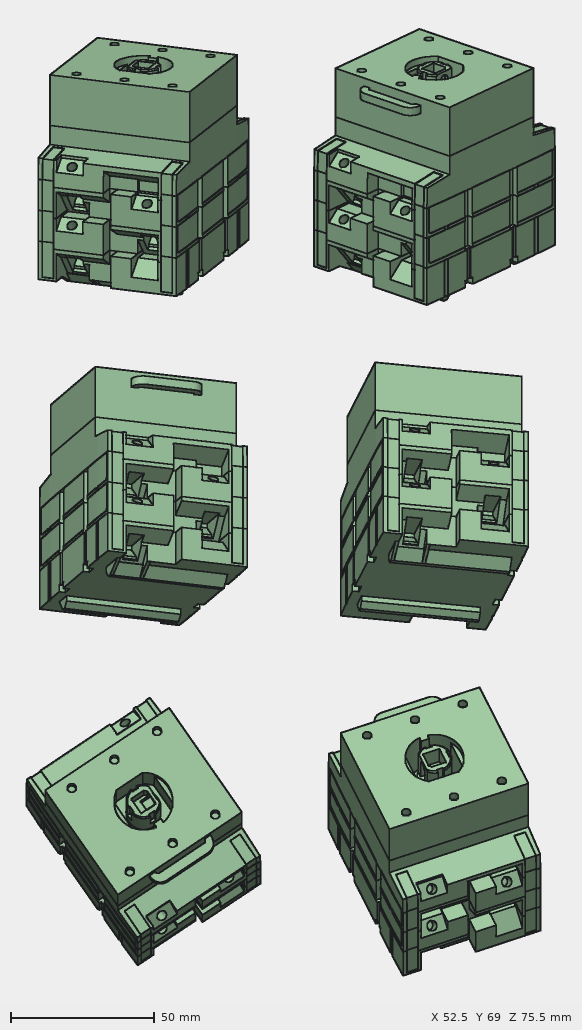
import cadquery as cq
import math

WIDTH = 52.5
HALF_WIDTH = WIDTH / 2
END_HALF_WIDTH = 26.0
TAPER_START = 24.1
HALF_LENGTH = 34.5
HALF_COVER = 22.6
TOP = 71.5
COVER_BOTTOM = 52.9

BASE_SEAM = 11.8
HOUSING_SEAM = 34.5
LAYER_PITCH = (HOUSING_SEAM - BASE_SEAM) / 2
CORE_SEAMS = [BASE_SEAM + LAYER_PITCH * i for i in range(3)]
FLANGE_STEP = 2.3
FLANGE_SEAMS = [seam + FLANGE_STEP for seam in CORE_SEAMS]
HALF_CORE = 20.2

SHOULDER_INNER_Z = 45.9
SHOULDER_OUTER_Z = 44.55
SHOULDER_HALF_LENGTH = 34.2

FRONT = -HALF_LENGTH
BACK_WALL = -28.5
HALF_GAP = 1.4
OPENING_OUTER = 19.1
POCKET_INNER = 9.1
HOLE_INNER = 11.3
HOLE_OUTER = 16.75
CEILING_DROP = 1.6
HOUSING_CEILING = 42.65
UNDERCUT_DROP = 6.2
HOLE_TOP_DROP = 3.4
HOLE_BOTTOM_DROP = 10.8
HOLE_STEPS = [0.9, 0.9, 4.1]
CEILING_SLOPE = math.tan(math.radians(30))
UNDERCUT_SLOPE = math.tan(math.radians(50))
RAMP_ANGLE = 40
RAMP_SLOPE = math.tan(math.radians(RAMP_ANGLE))
RAMP_FRONT_DROP = 4.5
RAMP_TOP_DROP = 0.7
BASE_RAMP_FRONT_DROP = 6.8
BASE_RAMP_TOP_DROP = 1.5
HOUSING_POCKET_BACK = -27.1
SHOULDER_RAMP_FRONT_Z = 39.95
SHOULDER_POCKET_BACK = -29.7
SCREW_DIAMETER = 3.55
SCREW_DEPTH = 6.05

STRIP_OUTER = 24.4
STRIP_DEPTH = 0.2
STRIP_BOTTOM = 1.0

PANEL_DEPTH = 0.2
PANEL_HALF_LENGTH = 33.15
PANEL_LIP = 1.3
PANEL_RADIUS = 0.9
SLOT_Y = 12.1
SLOT_WIDTH = 4.0
SLOT_DEPTH = 2.3
BASE_SLOT_DEPTH = 0.8
BASE_SLOT_WIDTH = 1.9
BASE_SLOT_FOOT = 2.5
GROOVE_Y = 24.15
GROOVE_WIDTH = 1.7

FOOT_DEPTH = 4.0
FOOT_OUTER = -24.45
RIB_OUTER = -28.55
FOOT_TIP_OUTER = -21.1
FOOT_TIP_INNER = -19.3
FOOT_INNER = -17.2
FOOT_INNER_HEIGHT = 2.0
FOOT_END = 22.3
RIB_WIDTH = 1.2

COVER_HOLE_SPACING = 18.05
COVER_HOLE_DIAMETER = 3.1
COVER_HOLE_DEPTH = 3.8
BORE_RADIUS = 10.3
BORE_FLAT_Y = -8.6
BORE_HALF_WIDTH = 8.45
BORE_LEDGE_DEPTH = 2.65
KEY_WIDTH = 3.0
KEY_TIP_Y = 8.5
ROTOR_RADIUS = 6.1
ROTOR_FLAT_X = -4.45
ROTOR_CHAMFER = 0.5
COLLAR_TOP = 60.4
SQUARE_SIZE = 6.3
SQUARE_CORNER = 0.9
SQUARE_DEPTH = 7.55
NOTCH_WIDTH = 2.3
NOTCH_RADIUS = 5.0
ARCH_WIDTH = 3.9
ARCH_DROP = 1.35
LOOP_TOP = 68.5
LOOP_THICKNESS = 3.0
LOOP_HALF_WIDTH = 12.9
LOOP_REACH = 27.4
LOOP_RADIUS = 4.2
LOOP_INNER_HALF_WIDTH = 10.4
LOOP_INNER_REACH = 23.8
LOOP_INNER_RADIUS = 0.9


def box(x0, x1, y0, y1, z0, z1):
    """Axis-aligned box between two corners; the X limits may come in either order."""
    size = (abs(x1 - x0), y1 - y0, z1 - z0)
    return cq.Workplane("XY").box(*size).translate(((x0 + x1) / 2, (y0 + y1) / 2, (z0 + z1) / 2))


def upright_cylinder(radius, z0, z1):
    """Cylinder about the Z axis."""
    return cq.Workplane("XY").workplane(offset=z0).circle(radius).extrude(z1 - z0)


def prism_along_x(points, x0, x1):
    """Extrude a (Y, Z) outline between two X limits given in either order."""
    return cq.Workplane("YZ").workplane(offset=min(x0, x1)).polyline(points).close().extrude(abs(x1 - x0))


def half_turn(shape):
    """The same shape at the opposite end of the device."""
    return shape.rotate((0, 0, 0), (0, 0, 1), 180)


def cut_both_ends(body, cutter):
    return body.cut(cutter).cut(half_turn(cutter))


def plan_prism(z0, z1, inset=0.0):
    """Plan outline with tapered ends; the inset moves only the sides inward."""
    side = HALF_WIDTH - inset
    end = END_HALF_WIDTH - inset
    outline = [
        (end, -HALF_LENGTH), (side, -TAPER_START), (side, TAPER_START), (end, HALF_LENGTH),
        (-end, HALF_LENGTH), (-side, TAPER_START), (-side, -TAPER_START), (-end, -HALF_LENGTH),
    ]
    return cq.Workplane("XY").workplane(offset=z0).polyline(outline).close().extrude(z1 - z0)


def stacked_layer(core_bottom, core_top, flange_bottom, flange_top):
    """Layer whose core and side flanges end at different heights."""
    core = box(-HALF_CORE, HALF_CORE, -HALF_LENGTH, HALF_LENGTH, core_bottom, core_top)
    channel = box(-HALF_CORE, HALF_CORE, -HALF_LENGTH, HALF_LENGTH, flange_bottom, flange_top)
    return plan_prism(flange_bottom, flange_top).cut(channel).union(core)


def side_skin(z0, z1):
    """Thin skin on both sides, as deep as the panels."""
    return plan_prism(z0, z1).cut(plan_prism(z0, z1, PANEL_DEPTH))


def cut_panels(body, bottom, top):
    """Sunk side panels that leave a lip at the bottom and run out at the top."""
    window = box(
        -HALF_WIDTH, HALF_WIDTH, -PANEL_HALF_LENGTH, PANEL_HALF_LENGTH,
        bottom + PANEL_LIP, top + 2 * PANEL_RADIUS,
    ).edges("|X").fillet(PANEL_RADIUS)
    return body.cut(side_skin(bottom, top).intersect(window))


def cut_side_slots(body, slot_y, width, depth, z0, z1):
    """Two upright slots in each side."""
    for side in (-1, 1):
        for y in (-slot_y, slot_y):
            slot = box(
                side * HALF_WIDTH, side * (HALF_WIDTH - depth), y - width / 2, y + width / 2, z0, z1
            )
            body = body.cut(slot)
    return body


def cut_side_grooves(body, z0, z1):
    """Two narrow upright grooves in each side, as deep as the panels."""
    return cut_side_slots(body, GROOVE_Y, GROOVE_WIDTH, PANEL_DEPTH, z0, z1)


def shoulder_profile(inset=0.0):
    """(Y, Z) outline of the housing; the inset sinks the ends and the shoulders."""
    bottom = CORE_SEAMS[2]
    right = [
        (HALF_LENGTH - inset, bottom),
        (SHOULDER_HALF_LENGTH - inset, SHOULDER_OUTER_Z - inset),
        (HALF_COVER, SHOULDER_INNER_Z - inset), (HALF_COVER, COVER_BOTTOM),
    ]
    left = [(-y, z) for y, z in reversed(right)]
    return right + left


def cut_end_strips(body, bottom, top):
    """Sunk upright strips in the end faces of the four flanges."""
    for side in (-1, 1):
        strip = box(side * HALF_CORE, side * STRIP_OUTER, FRONT, FRONT + STRIP_DEPTH, bottom, top)
        body = cut_both_ends(body, strip)
    return body


def undercut_y(z, seam):
    """Y of the undercut plane at height z."""
    return BACK_WALL + (seam - UNDERCUT_DROP - z) / UNDERCUT_SLOPE


def ceiling_z(y, ceiling):
    return ceiling - CEILING_SLOPE * (y - FRONT)


def terminal_opening(seam, floor, side):
    """Stepped wire opening below a seam, on one side of X = 0."""
    ceiling = seam - CEILING_DROP
    undercut_start = seam - UNDERCUT_DROP
    wall_top = (BACK_WALL, ceiling_z(BACK_WALL, ceiling))
    front_edge = [(FRONT, ceiling), (FRONT, floor)]
    floor_back = (undercut_y(floor, seam), floor)
    edge_y = (
        (ceiling + CEILING_SLOPE * FRONT - undercut_start - UNDERCUT_SLOPE * BACK_WALL)
        / (CEILING_SLOPE - UNDERCUT_SLOPE)
    )

    plain = prism_along_x(
        front_edge + [(BACK_WALL, floor), wall_top], -side * HALF_GAP, side * POCKET_INNER
    )
    walled = prism_along_x(
        front_edge + [floor_back, (BACK_WALL, undercut_start), wall_top],
        side * POCKET_INNER, side * HOLE_INNER,
    )
    leaning = prism_along_x(
        front_edge + [floor_back, (edge_y, ceiling_z(edge_y, ceiling))],
        side * HOLE_INNER, side * OPENING_OUTER,
    )
    gap = box(-HALF_GAP, HALF_GAP, FRONT, BACK_WALL, floor, seam)
    return plain.union(walled).union(leaning).union(gap).union(wire_hole(seam, side))


def wall_tongue(seam, bottom, drop, side):
    """Tongue that carries the leaning wall down to the pocket floor of the layer below."""
    tip = (undercut_y(bottom - drop, seam), bottom - drop)
    outline = [(undercut_y(bottom, seam), bottom), tip, (tip[0], bottom)]
    return prism_along_x(outline, side * POCKET_INNER, side * OPENING_OUTER)


def wire_hole(seam, side):
    """Wire hole in the leaning wall, with a stepped back."""
    low_ramp, riser, high_ramp = HOLE_STEPS
    bottom = seam - HOLE_BOTTOM_DROP
    top = seam - HOLE_TOP_DROP
    y_lip = undercut_y(bottom, seam)
    y_riser = y_lip + low_ramp / RAMP_SLOPE
    y_back = y_riser + high_ramp / RAMP_SLOPE
    y_front = FRONT + (seam - CEILING_DROP - top) / CEILING_SLOPE
    outline = [
        (y_lip, bottom), (y_riser, bottom + low_ramp), (y_riser, bottom + low_ramp + riser),
        (y_back, bottom + low_ramp + riser + high_ramp), (y_back, top), (y_front, top),
    ]
    return prism_along_x(outline, side * HOLE_INNER, side * HOLE_OUTER)


def ramp_pocket(ramp_front, ramp_top, back, top, side):
    """Pocket with a sloping ramp, then a level floor back to an upright wall."""
    y_top = FRONT + (ramp_top - ramp_front) / RAMP_SLOPE
    outline = [(FRONT, ramp_front), (y_top, ramp_top), (back, ramp_top), (back, top), (FRONT, top)]
    return prism_along_x(outline, side * POCKET_INNER, side * OPENING_OUTER)


def screw_hole(ramp_front, ramp_top, side):
    """Blind hole square to a ramp, at its middle."""
    x = side * (POCKET_INNER + OPENING_OUTER) / 2
    z = (ramp_front + ramp_top) / 2
    y = FRONT + (z - ramp_front) / RAMP_SLOPE
    lean = math.radians(RAMP_ANGLE)
    inward = cq.Vector(0, math.sin(lean), -math.cos(lean))
    hole = cq.Solid.makeCylinder(SCREW_DIAMETER / 2, SCREW_DEPTH, cq.Vector(x, y, z), inward)
    return cq.Workplane(obj=hole)


def screw_pocket(seam, back, side):
    """Ramp with a screw hole, in the top of a terminal block."""
    ramp_front = seam - RAMP_FRONT_DROP
    ramp_top = seam - RAMP_TOP_DROP
    pocket = ramp_pocket(ramp_front, ramp_top, back, seam, side)
    return pocket.union(screw_hole(ramp_front, ramp_top, side))


def make_base():
    seam = CORE_SEAMS[0]
    body = stacked_layer(0, seam, 0, FLANGE_SEAMS[0])
    body = cut_both_ends(body, terminal_opening(seam, 0, -1))
    pocket_back = undercut_y(seam - BASE_RAMP_TOP_DROP, CORE_SEAMS[1])
    pocket = ramp_pocket(
        seam - BASE_RAMP_FRONT_DROP, seam - BASE_RAMP_TOP_DROP, pocket_back, seam, 1
    )
    body = cut_both_ends(body, pocket)
    body = cut_end_strips(body, STRIP_BOTTOM, FLANGE_SEAMS[0])
    body = cut_side_slots(body, SLOT_Y, BASE_SLOT_WIDTH, BASE_SLOT_DEPTH, BASE_SLOT_FOOT, FLANGE_SEAMS[0])
    body = cut_side_slots(body, SLOT_Y, SLOT_WIDTH, SLOT_DEPTH, 0, BASE_SLOT_FOOT)
    body = cut_side_grooves(body, 0, FLANGE_SEAMS[0])
    foot = make_foot()
    return body.union(foot).union(half_turn(foot))


def make_foot():
    """Rail foot with two ribs that carry on the sides of the terminal opening."""
    inner_profile = [
        (FOOT_TIP_OUTER, -FOOT_DEPTH), (FOOT_TIP_INNER, -FOOT_DEPTH),
        (FOOT_INNER, -FOOT_INNER_HEIGHT), (FOOT_INNER, 0),
    ]
    foot = prism_along_x([(FOOT_OUTER, 0)] + inner_profile, -HALF_CORE, FOOT_END)
    for x0, x1 in (
        (-HALF_CORE, -OPENING_OUTER),
        (-POCKET_INNER, -POCKET_INNER + RIB_WIDTH),
    ):
        foot = foot.union(prism_along_x([(RIB_OUTER, 0)] + inner_profile, x0, x1))
    return foot


def make_module(level):
    """Contact module; its openings change sides from one level to the next."""
    bottom, top = CORE_SEAMS[level - 1], CORE_SEAMS[level]
    flange_bottom, flange_top = FLANGE_SEAMS[level - 1], FLANGE_SEAMS[level]
    opening_side = 1 if level == 1 else -1
    body = stacked_layer(bottom, top, flange_bottom, flange_top)
    body = cut_both_ends(body, terminal_opening(top, bottom, opening_side))
    if level == 1:
        tongue_drop = BASE_RAMP_TOP_DROP
        pocket_back = undercut_y(top - RAMP_TOP_DROP, CORE_SEAMS[2])
    else:
        tongue_drop = RAMP_TOP_DROP
        pocket_back = HOUSING_POCKET_BACK
        body = cut_side_grooves(body, flange_bottom, flange_bottom + PANEL_LIP)
    tongue = wall_tongue(top, bottom, tongue_drop, opening_side)
    body = body.union(tongue).union(half_turn(tongue))
    body = cut_both_ends(body, screw_pocket(top, pocket_back, -opening_side))
    body = cut_end_strips(body, flange_bottom, flange_top)
    body = cut_panels(body, flange_bottom, flange_top)
    return cut_side_slots(body, SLOT_Y, SLOT_WIDTH, SLOT_DEPTH, flange_bottom, flange_top)


def make_upper_housing():
    bottom = CORE_SEAMS[2]
    body = stacked_layer(bottom, COVER_BOTTOM, FLANGE_SEAMS[2], COVER_BOTTOM)
    body = body.intersect(prism_along_x(shoulder_profile(), -HALF_WIDTH, HALF_WIDTH))

    for side in (-1, 1):
        span = (side * HALF_CORE, side * STRIP_OUTER)
        strip = prism_along_x(shoulder_profile(), *span).cut(
            prism_along_x(shoulder_profile(STRIP_DEPTH), *span)
        )
        for end in (-1, 1):
            y0, y1 = sorted((end * TAPER_START, end * HALF_LENGTH))
            body = body.cut(strip.intersect(box(*span, y0, y1, bottom, COVER_BOTTOM)))

    for back, x0 in ((BACK_WALL, -HALF_GAP), (HOUSING_POCKET_BACK, POCKET_INNER)):
        outline = [
            (FRONT, bottom), (back, bottom), (back, ceiling_z(back, HOUSING_CEILING)),
            (FRONT, HOUSING_CEILING),
        ]
        body = cut_both_ends(body, prism_along_x(outline, x0, OPENING_OUTER))

    ramp_front = SHOULDER_RAMP_FRONT_Z
    ramp_top = ramp_front + (SHOULDER_POCKET_BACK - FRONT) * RAMP_SLOPE
    outline = [
        (FRONT, ramp_front), (SHOULDER_POCKET_BACK, ramp_top),
        (SHOULDER_POCKET_BACK, SHOULDER_INNER_Z), (FRONT, SHOULDER_INNER_Z),
    ]
    pocket = prism_along_x(outline, -POCKET_INNER, -OPENING_OUTER)
    return cut_both_ends(body, pocket.union(screw_hole(ramp_front, ramp_top, -1)))


def make_cover():
    body = box(-HALF_WIDTH, HALF_WIDTH, -HALF_COVER, HALF_COVER, COVER_BOTTOM, TOP)

    hole_centres = [
        (column * COVER_HOLE_SPACING, row * COVER_HOLE_SPACING)
        for column in (-1, 0, 1)
        for row in (-1, 1)
    ]
    holes = (
        cq.Workplane("XY").workplane(offset=TOP - COVER_HOLE_DEPTH).pushPoints(hole_centres)
        .circle(COVER_HOLE_DIAMETER / 2).extrude(COVER_HOLE_DEPTH)
    )
    body = body.cut(holes)

    bore = upright_cylinder(BORE_RADIUS, COVER_BOTTOM, TOP)
    flat_limit = box(-BORE_RADIUS, BORE_RADIUS, BORE_FLAT_Y, BORE_RADIUS, COVER_BOTTOM, TOP)
    bore = bore.intersect(flat_limit)
    bore = bore.cut(box(-KEY_WIDTH / 2, KEY_WIDTH / 2, KEY_TIP_Y, BORE_RADIUS, COVER_BOTTOM, TOP))
    for side in (-1, 1):
        ledge = box(
            side * BORE_HALF_WIDTH, side * BORE_RADIUS, -BORE_RADIUS, BORE_RADIUS,
            COVER_BOTTOM, TOP - BORE_LEDGE_DEPTH,
        )
        bore = bore.cut(ledge)
    return body.cut(bore)


def make_rotor():
    """Switch shaft standing on the upper housing inside the cover bore."""
    body = upright_cylinder(ROTOR_RADIUS, COVER_BOTTOM, TOP)
    body = body.faces(">Z").edges().chamfer(ROTOR_CHAMFER)
    body = body.cut(box(-ROTOR_RADIUS, ROTOR_FLAT_X, -ROTOR_RADIUS, ROTOR_RADIUS, COVER_BOTTOM, TOP))

    notch = box(NOTCH_RADIUS, ROTOR_RADIUS, -NOTCH_WIDTH / 2, NOTCH_WIDTH / 2, COVER_BOTTOM, TOP)
    for angle in (-90, 0, 90):
        body = body.cut(notch.rotate((0, 0, 0), (0, 0, 1), angle))

    body = body.union(upright_cylinder(ROTOR_RADIUS, COVER_BOTTOM, COLLAR_TOP))

    half = SQUARE_SIZE / 2
    socket = box(-half, half, -half, half, TOP - SQUARE_DEPTH, TOP)
    socket = socket.edges("|Z and <X and <Y").chamfer(SQUARE_CORNER)
    body = body.cut(socket)

    radius = ARCH_WIDTH / 2
    spring_z = TOP - ARCH_DROP - radius
    window = (
        cq.Workplane("YZ").workplane(offset=ROTOR_FLAT_X)
        .moveTo(-radius, COLLAR_TOP).lineTo(-radius, spring_z)
        .threePointArc((0, spring_z + radius), (radius, spring_z))
        .lineTo(radius, COLLAR_TOP).close().extrude(-ROTOR_FLAT_X)
    )
    return body.cut(window)


def make_lock_loop():
    """U-shaped loop standing on the back of the cover."""
    bottom = LOOP_TOP - LOOP_THICKNESS
    loop = box(-LOOP_HALF_WIDTH, LOOP_HALF_WIDTH, HALF_COVER, LOOP_REACH, bottom, LOOP_TOP)
    loop = loop.edges("|Z and >Y").fillet(LOOP_RADIUS)
    window = box(
        -LOOP_INNER_HALF_WIDTH, LOOP_INNER_HALF_WIDTH, HALF_COVER, LOOP_INNER_REACH, bottom, LOOP_TOP
    )
    window = window.edges("|Z and >Y").fillet(LOOP_INNER_RADIUS)
    return loop.cut(window)


base = make_base()
modules = [make_module(level) for level in (1, 2)]
upper_housing = make_upper_housing()
cover = make_cover()
rotor = make_rotor()
lock_loop = make_lock_loop()

result = cq.Compound.makeCompound(
    [
        base.val(),
        *[module.val() for module in modules],
        upper_housing.val(),
        cover.val(),
        rotor.val(),
        lock_loop.val(),
    ]
)